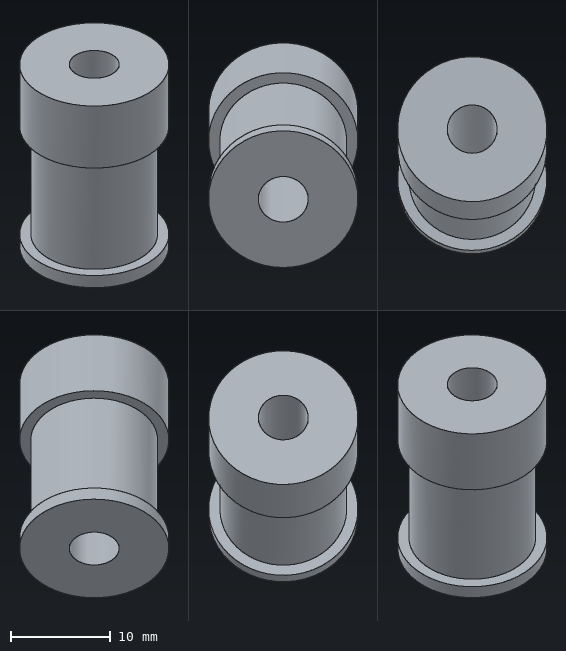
import cadquery as cq

total_height = 22.0
outer_diameter = 15.0

flange_height = 1.5
head_height = 7.5
neck_diameter = 12.74
neck_height = total_height - flange_height - head_height

bore_diameter = 5.0


def disc(diameter, height, base_height):
    """Cylinder on the Z axis, standing at base_height."""
    return cq.Workplane("XY").workplane(offset=base_height).circle(diameter / 2).extrude(height)


flange = disc(outer_diameter, flange_height, 0)
neck = disc(neck_diameter, neck_height, flange_height)
head = disc(outer_diameter, head_height, flange_height + neck_height)
bore = disc(bore_diameter, total_height, 0)

result = flange.union(neck).union(head).cut(bore)